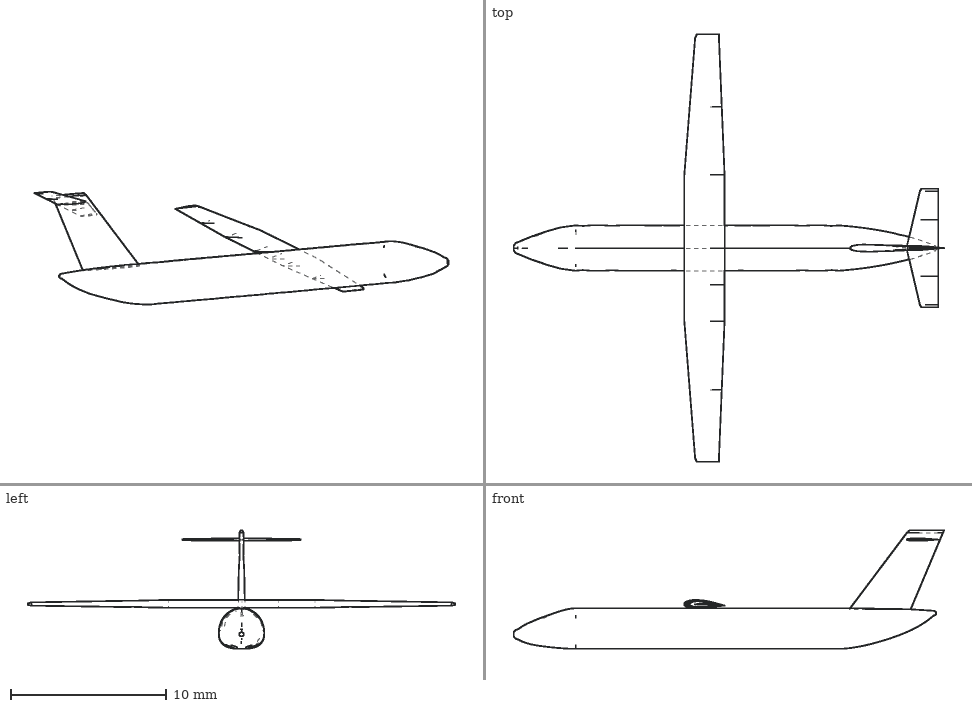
import cadquery as cq
import math


BODY_HALF_WIDTH = 1.47
BODY_CROWN_Z = 2.63
BODY_WIDEST = 0.4
BODY_BELLY_POWER = 2.6
BARREL_START_X = 4.0
BARREL_END_X = 20.95
HALF_SECTION_STEPS = 16

BARREL_SHAPE = (BODY_HALF_WIDTH, 0.0, BODY_CROWN_Z, BODY_WIDEST, BODY_BELLY_POWER)
NOSE_STATIONS = [
    (0.28, 0.4, 0.6, 1.28, 0.5, 2.0),
    (0.85, 0.65, 0.35, 1.64, 0.47, 2.2),
    (1.85, 1.0, 0.17, 2.05, 0.44, 2.4),
    (2.88, 1.3, 0.05, 2.4, 0.41, 2.5),
    (BARREL_START_X, *BARREL_SHAPE),
]
TAIL_STATIONS = [
    (BARREL_END_X, *BARREL_SHAPE),
    (22.75, 1.28, 0.25, 2.63, 0.41, 2.5),
    (24.45, 0.97, 0.75, 2.6, 0.44, 2.4),
    (25.8, 0.65, 1.3, 2.55, 0.47, 2.2),
    (27.05, 0.2, 2.14, 2.47, 0.5, 2.0),
]
NOSE_TIP_X = 0.0
TAIL_TIP_X = 27.2
CAP_STEPS = [(0.6, 0.8), (1.0, 0.4)]

WING_LEADING_X = 10.98
WING_CHORD = 2.6
WING_Z = 2.88
WING_INCIDENCE = 2.0
WING_CAMBER = 0.02
WING_THICKNESS = 0.2
WING_TIP_THICKNESS = 0.15
WING_TAPER_Y = 4.71
WING_TIP_Y = 13.5
WING_SPAN = 27.54
WING_END_Y = WING_SPAN / 2
WING_TIP_LEADING_X = 11.67
WING_TIP_CHORD = 1.55

FIN_THICKNESS = 0.12
FIN_ROOT_Z = 2.55
FIN_TIP_Z = 7.5
FIN_END_Z = 7.65
FIN_ROOT_LEADING_X = 21.6
FIN_ROOT_CHORD = 3.97
FIN_TIP_LEADING_X = 25.32
FIN_TIP_CHORD = 2.33
FIN_END_TRAILING_X = 27.73

TAILPLANE_Z = 7.05
TAILPLANE_THICKNESS = 0.09
TAILPLANE_LEADING_X = 25.3
TAILPLANE_CHORD = 2.05
TAILPLANE_TIP_LEADING_X = 26.15
TAILPLANE_TIP_Y = 3.65
TAILPLANE_END_Y = 3.83

THICKNESS_FACTORS = [(0.2969, 0.5), (-0.126, 1), (-0.3516, 2), (0.2843, 3), (-0.1036, 4)]
THICKNESS_GAIN = 5
CAMBER_PEAK = 0.4
AIRFOIL_STEPS = 14
CAP_THIN = 0.4
CAP_SETBACK = 0.1


def body_section(station, scale=1.0, x=None):
    """Closed fuselage outline: elliptic above its widest point, superelliptic below."""
    station_x, half_width, belly, crown, widest, power = station
    section_x = station_x if x is None else x
    centre_z = (belly + crown) / 2
    middle_z = belly + widest * (crown - belly)
    heights_and_widths = []
    for i in range(HALF_SECTION_STEPS + 1):
        angle = math.pi * i / HALF_SECTION_STEPS
        across, up = abs(math.sin(angle)), math.cos(angle)
        if up >= 0:
            width = half_width * across
            z = middle_z + (crown - middle_z) * up
        else:
            width = half_width * across ** (2 / power)
            z = middle_z - (middle_z - belly) * abs(up) ** (2 / power)
        heights_and_widths.append((centre_z + scale * (z - centre_z), scale * width))
    halves = []
    for side in (1, -1):
        points = [cq.Vector(section_x, side * width, z) for z, width in heights_and_widths]
        tangents = [cq.Vector(0, side, 0), cq.Vector(0, -side, 0)]
        halves.append(cq.Edge.makeSpline(points, tangents))
    return cq.Wire.assembleEdges(halves)


def body_cap(station, tip_x):
    """Rounded end beyond an end station."""
    sections = [body_section(station)]
    for along, scale in CAP_STEPS:
        sections.append(body_section(station, scale, station[0] + along * (tip_x - station[0])))
    return cq.Solid.makeLoft(sections)


def make_fuselage():
    """Barrel with a tapered nose and an upswept tail cone, each rounded off by a cap."""
    nose = cq.Solid.makeLoft([body_section(s) for s in NOSE_STATIONS])
    barrel = cq.Solid.makeLoft([body_section(NOSE_STATIONS[-1]), body_section(TAIL_STATIONS[0])], True)
    tail_cone = cq.Solid.makeLoft([body_section(s) for s in TAIL_STATIONS])
    nose_cap = body_cap(NOSE_STATIONS[0], NOSE_TIP_X)
    tail_cap = body_cap(TAIL_STATIONS[-1], TAIL_TIP_X)
    return barrel.fuse(nose, tail_cone, nose_cap, tail_cap)


def airfoil_points(thickness, camber):
    """Unit-chord four-digit airfoil, from trailing edge over the top and back underneath."""
    upper, lower = [], []
    for i in range(AIRFOIL_STEPS + 1):
        x = (1 - math.cos(math.pi * i / AIRFOIL_STEPS)) / 2
        half = THICKNESS_GAIN * thickness * sum(factor * x**power for factor, power in THICKNESS_FACTORS)
        peak_distance = CAMBER_PEAK if x < CAMBER_PEAK else 1 - CAMBER_PEAK
        mean = camber * (1 - ((x - CAMBER_PEAK) / peak_distance) ** 2)
        upper.append((x, mean + half))
        lower.append((x, mean - half))
    return upper[::-1] + lower[1:]


def airfoil_section(leading_x, chord, span, thickness, camber=0.0, incidence=0.0):
    """Airfoil wire in an XZ plane at Y = span, with its leading edge at Z = 0."""
    turn = math.radians(incidence)
    points = []
    for along, up in airfoil_points(thickness, camber):
        x = leading_x + chord * (along * math.cos(turn) + up * math.sin(turn))
        z = chord * (up * math.cos(turn) - along * math.sin(turn))
        points.append(cq.Vector(x, span, z))
    return cq.Wire.assembleEdges([cq.Edge.makeSpline(points)])


def midway(inner, outer):
    """Station halfway between two others: leading edge X, chord, span position, thickness fraction."""
    return tuple((a + b) / 2 for a, b in zip(inner, outer))


def tip_cap_end(tip, end_span, trailing_shift=0.0):
    """Thinned end station that closes a tip."""
    leading_x, chord, _, thickness = tip
    end_leading_x = leading_x + CAP_SETBACK + trailing_shift
    return (end_leading_x, chord - CAP_SETBACK, end_span, thickness * CAP_THIN)


def mirrored(stations):
    """Stations from one tip to the other, given those from the root outward."""
    other_side = [(x, chord, -span, thickness) for x, chord, span, thickness in stations[:0:-1]]
    return other_side + stations


def loft_airfoils(stations, camber=0.0, incidence=0.0):
    """Straight-sided solid through airfoil stations spread along Y."""
    return cq.Solid.makeLoft([airfoil_section(*s, camber, incidence) for s in stations], True)


def make_wing():
    """Straight centre panels with tapered outer panels, from tip to tip."""
    root = (WING_LEADING_X, WING_CHORD, 0.0, WING_THICKNESS)
    taper = (WING_LEADING_X, WING_CHORD, WING_TAPER_Y, WING_THICKNESS)
    tip = (WING_TIP_LEADING_X, WING_TIP_CHORD, WING_TIP_Y, WING_TIP_THICKNESS)
    end = tip_cap_end(tip, WING_END_Y)
    half = [root, midway(root, taper), taper, midway(taper, tip), tip, end]
    wing = loft_airfoils(mirrored(half), WING_CAMBER, WING_INCIDENCE)
    return wing.translate(cq.Vector(0, 0, WING_Z))


def make_fin():
    """Fin lofted along Y, then turned upright."""
    root = (FIN_ROOT_LEADING_X, FIN_ROOT_CHORD, FIN_ROOT_Z, FIN_THICKNESS)
    tip = (FIN_TIP_LEADING_X, FIN_TIP_CHORD, FIN_TIP_Z, FIN_THICKNESS)
    sweep = FIN_END_TRAILING_X - FIN_TIP_LEADING_X - FIN_TIP_CHORD
    end = tip_cap_end(tip, FIN_END_Z, sweep)
    flat_fin = loft_airfoils([root, midway(root, tip), tip, end])
    return flat_fin.rotate(cq.Vector(0, 0, 0), cq.Vector(1, 0, 0), 90)


def make_tailplane():
    """Tailplane with a straight trailing edge, crossing the fin near its top."""
    tip_chord = TAILPLANE_LEADING_X + TAILPLANE_CHORD - TAILPLANE_TIP_LEADING_X
    root = (TAILPLANE_LEADING_X, TAILPLANE_CHORD, 0.0, TAILPLANE_THICKNESS)
    tip = (TAILPLANE_TIP_LEADING_X, tip_chord, TAILPLANE_TIP_Y, TAILPLANE_THICKNESS)
    end = tip_cap_end(tip, TAILPLANE_END_Y)
    tailplane = loft_airfoils(mirrored([root, midway(root, tip), tip, end]))
    return tailplane.translate(cq.Vector(0, 0, TAILPLANE_Z))


wing = make_wing()
tail = make_fin().fuse(make_tailplane())
fuselage = make_fuselage().cut(tail)

result = cq.Compound.makeCompound([*fuselage.Solids(), wing, *tail.Solids()])